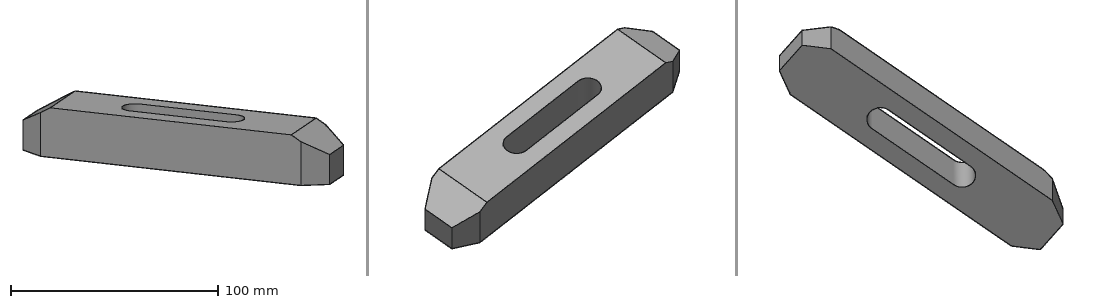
import cadquery as cq
import math

length = 160.0
width = 32.0
height = 25.0
taper_angle = math.radians(30)
end_width = 18.0
end_height = 15.0
slot_length = 63.0
slot_width = 13.0

side_taper_length = (width - end_width) / 2 / math.tan(taper_angle)
top_taper_length = (height - end_height) / math.tan(taper_angle)


def plan_prism():
    """Bar outline seen from above, with tapered sides at both ends."""
    end_x = length / 2
    shoulder_x = end_x - side_taper_length
    outline = [
        (-end_x, -end_width / 2),
        (-shoulder_x, -width / 2),
        (shoulder_x, -width / 2),
        (end_x, -end_width / 2),
        (end_x, end_width / 2),
        (shoulder_x, width / 2),
        (-shoulder_x, width / 2),
        (-end_x, end_width / 2),
    ]
    return cq.Workplane("XY").polyline(outline).close().extrude(height)


def side_profile_prism():
    """Bar outline seen from the side, with the top sloping down to both ends."""
    end_x = length / 2
    shoulder_x = end_x - top_taper_length
    outline = [
        (-end_x, 0),
        (end_x, 0),
        (end_x, end_height),
        (shoulder_x, height),
        (-shoulder_x, height),
        (-end_x, end_height),
    ]
    return cq.Workplane("XZ").polyline(outline).close().extrude(width / 2, both=True)


slot = cq.Workplane("XY").slot2D(slot_length, slot_width).extrude(height)

result = plan_prism().intersect(side_profile_prism()).cut(slot)